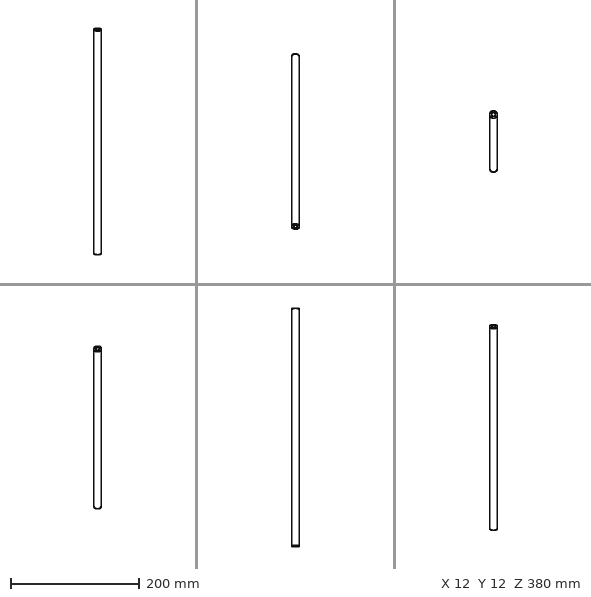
import cadquery as cq

outer_diameter = 12.0
bore_diameter = 6.0
length = 380.0


def make_tube():
    """Cylinder centred on the origin with a bore running its full length."""
    bottom_end = cq.Workplane("XY", origin=(0, 0, -length / 2))
    ring = bottom_end.circle(outer_diameter / 2).circle(bore_diameter / 2)
    return ring.extrude(length)


result = make_tube()